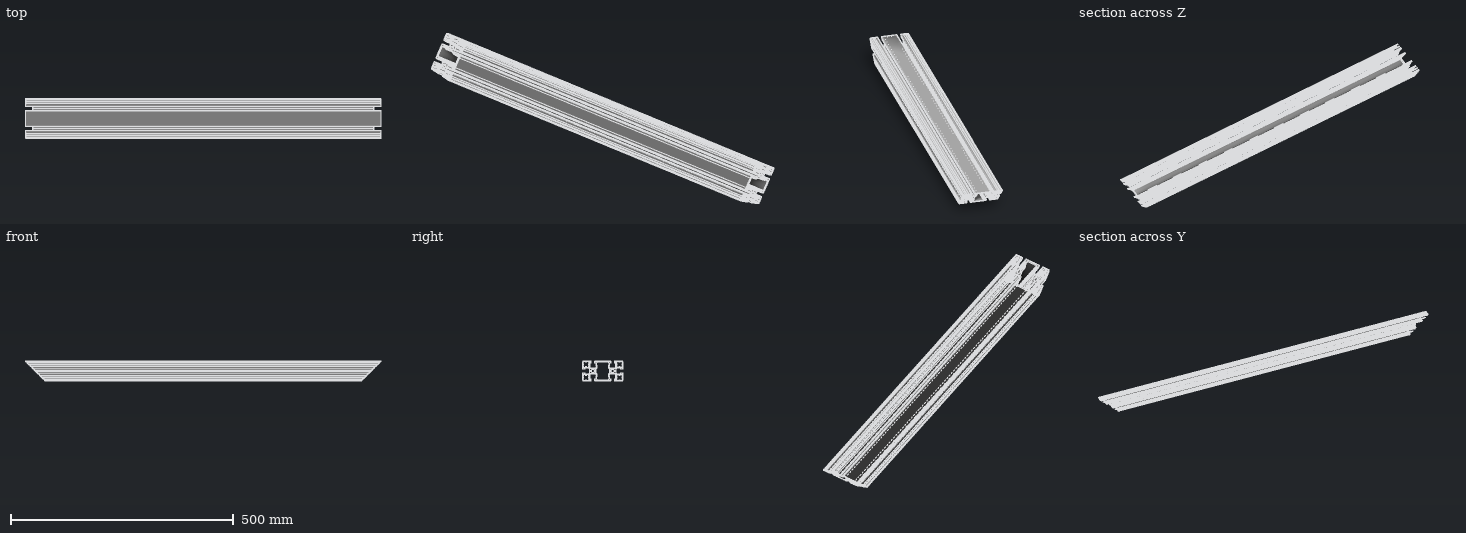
import cadquery as cq

length = 798.5
width = 90.0
height = 45.0
corner_radius = 2.0

slot_pitch = 45.0
mouth_width = 9.0
mouth_edge_radius = 1.0
lip_thickness = 5.0
chamber_width = 13.5
top_slot_depth = 16.0
side_slot_depth = 15.0
floor_chamfer = 1.5
notch_width = 2.0
notch_depth = 1.5

wall = 2.0
bulge_offset = 1.2
bulge_bottom = 9.5
bulge_top = 12.0

core_bore = 7.0
cell_size = 13.5
cell_inset = 7.6
cell_corner = 2.0
rib_width = 1.5
rib_height = 1.5

skin = 2.0
cavity_corner = 1.5
core_wall_y = 15.0
core_wall_top = 4.0
neck_bottom = 8.0

half_width = width / 2
half_height = height / 2
groove_wall_y = (slot_pitch - chamber_width) / 2
cavity_wall_y = groove_wall_y - wall
neck_y = cavity_wall_y - bulge_offset


def prism(outline):
    """Extrude a cross-section outline along the whole bar."""
    return outline.extrude(length / 2, both=True)


def section():
    """Start a sketch across the bar, with Y to the right and Z up."""
    return cq.Workplane("YZ")


def groove(depth, bulged):
    """Groove opening at the origin toward +Z; the bulged wall lies on its -Y side."""
    mouth = mouth_width / 2
    chamber = chamber_width / 2
    notch = notch_width / 2
    r = mouth_edge_radius
    outline = (
        section()
        .moveTo(mouth + r, 0)
        .radiusArc((mouth, -r), -r)
        .lineTo(mouth, -lip_thickness)
        .lineTo(chamber, -lip_thickness)
        .lineTo(chamber, -depth + floor_chamfer)
        .lineTo(chamber - floor_chamfer, -depth)
        .lineTo(notch, -depth)
        .lineTo(0, -depth - notch_depth)
        .lineTo(-notch, -depth)
        .lineTo(-chamber + floor_chamfer, -depth)
        .lineTo(-chamber, -depth + floor_chamfer)
    )
    if bulged:
        outline = (
            outline
            .lineTo(-chamber - bulge_offset, bulge_bottom - half_height)
            .lineTo(-chamber - bulge_offset, bulge_top - half_height)
            .lineTo(-chamber, bulge_top + bulge_offset - half_height)
        )
    outline = (
        outline
        .lineTo(-chamber, -lip_thickness)
        .lineTo(-mouth, -lip_thickness)
        .lineTo(-mouth, -r)
        .radiusArc((-mouth - r, 0), -r)
        .close()
    )
    return prism(outline)


def corner_cell():
    """Hollow square cell with a small rib in the middle of each wall."""
    cell = prism(section().rect(cell_size, cell_size)).edges("|X").chamfer(cell_corner)
    for quarter in range(4):
        rib = prism(section().center(cell_size / 2 - rib_height / 2, 0).rect(rib_height, rib_width))
        cell = cell.cut(rib.rotate((0, 0, 0), (1, 0, 0), 90 * quarter))
    return cell


def central_cavity():
    """Waisted cavity whose side walls bulge inward behind the grooves."""
    top = half_height - skin
    quarter = [
        (core_wall_y, core_wall_top),
        (neck_y, neck_bottom),
        (neck_y, bulge_top),
        (cavity_wall_y, bulge_top + bulge_offset),
        (cavity_wall_y, top - cavity_corner),
        (cavity_wall_y - cavity_corner, top),
    ]
    upper = quarter + [(-y, z) for y, z in reversed(quarter)]
    lower = [(y, -z) for y, z in reversed(upper)]
    return prism(section().polyline(upper + lower).close())


bar = prism(section().rect(width, height)).edges("|X").fillet(corner_radius)
bar = bar.cut(central_cavity())

top_groove = groove(top_slot_depth, bulged=True).translate((0, slot_pitch / 2, half_height))
side_groove = groove(side_slot_depth, bulged=False)
side_groove = side_groove.rotate((0, 0, 0), (1, 0, 0), -90).translate((0, half_width, 0))
bore = prism(section().center(slot_pitch / 2, 0).circle(core_bore / 2))
cell = corner_cell().translate((0, half_width - cell_inset, half_height - cell_inset))
half_voids = [side_groove, bore]
for void in (top_groove, cell):
    half_voids += [void, void.mirror("XY")]
for void in half_voids:
    bar = bar.cut(void).cut(void.mirror("XZ"))

mitre = (
    cq.Workplane("XZ")
    .polyline([
        (-length / 2, half_height),
        (length / 2, half_height),
        (length / 2 - height, -half_height),
        (-length / 2 + height, -half_height),
    ])
    .close()
    .extrude(half_width, both=True)
)
result = bar.intersect(mitre)